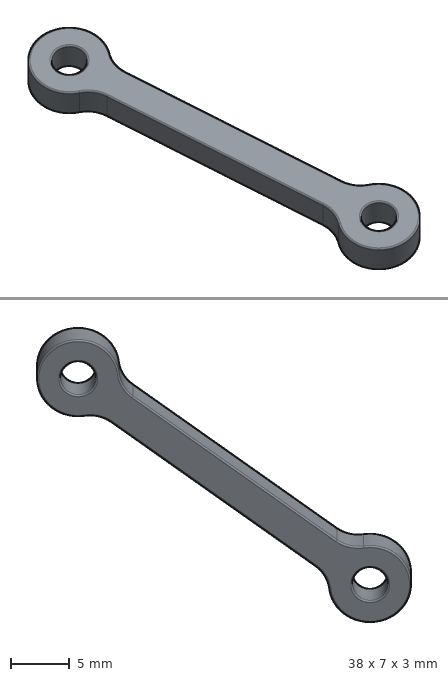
import cadquery as cq
import math

length = 38.0
eye_diameter = 7.0
thickness = 3.0
arm_width = 3.0
hole_diameter = 3.0
blend_radius = 3.0
edge_fillet = 0.15

eye_radius = eye_diameter / 2
half_spacing = length / 2 - eye_radius

blend_center_y = arm_width / 2 + blend_radius
center_distance = eye_radius + blend_radius
blend_reach = math.sqrt(center_distance**2 - blend_center_y**2)
blend_center_x = half_spacing - blend_reach
eye_tangent_x = half_spacing - blend_reach * eye_radius / center_distance
eye_tangent_y = blend_center_y * eye_radius / center_distance

eye_direction = math.atan2(-blend_center_y, blend_reach)
middle_direction = (eye_direction - math.pi / 2) / 2
blend_middle_x = blend_center_x + blend_radius * math.cos(middle_direction)
blend_middle_y = blend_center_y + blend_radius * math.sin(middle_direction)


def link_body():
    """Straight arm flowing into a round eye at each end, centred on the origin."""
    half_arm = arm_width / 2
    return (
        cq.Workplane("XY")
        .workplane(offset=-thickness / 2)
        .moveTo(-blend_center_x, half_arm)
        .lineTo(blend_center_x, half_arm)
        .threePointArc((blend_middle_x, blend_middle_y), (eye_tangent_x, eye_tangent_y))
        .threePointArc((length / 2, 0), (eye_tangent_x, -eye_tangent_y))
        .threePointArc((blend_middle_x, -blend_middle_y), (blend_center_x, -half_arm))
        .lineTo(-blend_center_x, -half_arm)
        .threePointArc((-blend_middle_x, -blend_middle_y), (-eye_tangent_x, -eye_tangent_y))
        .threePointArc((-length / 2, 0), (-eye_tangent_x, eye_tangent_y))
        .threePointArc((-blend_middle_x, blend_middle_y), (-blend_center_x, half_arm))
        .close()
        .extrude(thickness)
    )


def pin_holes():
    """Cylinders that cut the through hole in each eye."""
    return (
        cq.Workplane("XY")
        .workplane(offset=-thickness / 2)
        .pushPoints([(-half_spacing, 0), (half_spacing, 0)])
        .circle(hole_diameter / 2)
        .extrude(thickness)
    )


result = link_body().cut(pin_holes()).faces("|Z").edges().fillet(edge_fillet)